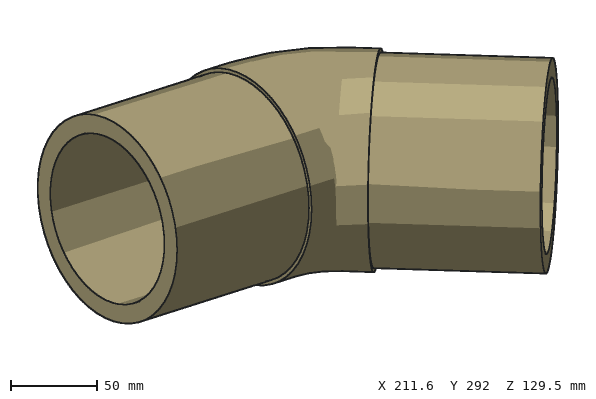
import cadquery as cq
import math

bend_angle = 45
spigot_diameter = 125.0
collar_diameter = 129.5
bore_diameter = 102.0
spigot_length = 99.8
collar_length = 18.5
inner_bend_radius = 0.15

angle = math.radians(bend_angle)
outlet_direction = (math.sin(angle), math.cos(angle), 0)


def bend_radius(diameter):
    """Radius of the bend's centre line; each bend turns just outside the inner edge of its section."""
    return diameter / 2 + inner_bend_radius


def bend_setback(diameter):
    """Distance from the axis crossing to each end of a bend of this diameter."""
    return bend_radius(diameter) * math.tan(angle / 2)


collar_end = bend_setback(collar_diameter) + collar_length
leg_end = collar_end + spigot_length

inlet_plane = cq.Plane(origin=(0, 0, 0), xDir=(1, 0, 0), normal=(0, -1, 0))
outlet_plane = cq.Plane(origin=(0, 0, 0), xDir=(0, 0, 1), normal=outlet_direction)


def leg(plane, diameter, start, end):
    """Straight round length between two distances along a leg."""
    return cq.Workplane(plane).workplane(offset=start).circle(diameter / 2).extrude(end - start)


def bend(diameter):
    """Round section turned about the bend centre, joining the two legs."""
    turn_x = bend_radius(diameter)
    return (
        cq.Workplane("XZ", origin=(0, -bend_setback(diameter), 0))
        .circle(diameter / 2)
        .revolve(bend_angle, (turn_x, 3, 0), (turn_x, 0, 0))
    )


def elbow(diameter, end):
    """Round bend with a straight leg of the same diameter at both ends."""
    shape = bend(diameter)
    for plane in (inlet_plane, outlet_plane):
        shape = shape.union(leg(plane, diameter, bend_setback(diameter), end))
    return shape


body = elbow(collar_diameter, collar_end)
for plane in (inlet_plane, outlet_plane):
    body = body.union(leg(plane, spigot_diameter, collar_end, leg_end))

result = body.cut(elbow(bore_diameter, leg_end))